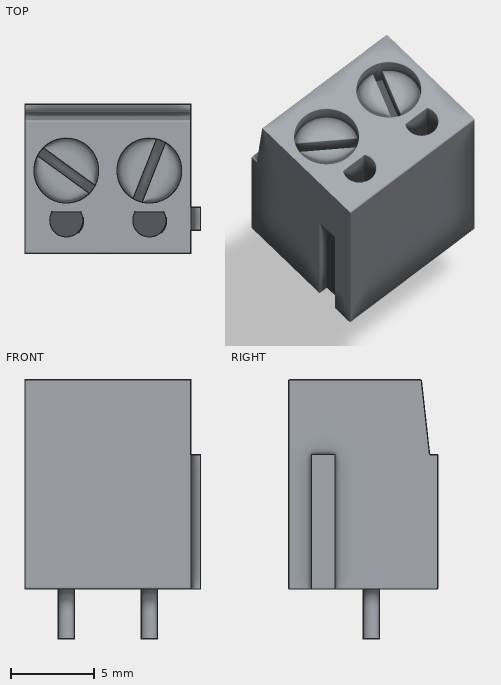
import cadquery as cq
import math

body_width = 10.0
body_depth = 9.0
body_height = 12.6

edge_break = 0.1
ledge_break = 0.05
rim_break = 0.05

ledge_height = 8.1
ledge_depth = 0.5
slope_top_setback = 1.0

pole_count = 2
pole_pitch = body_width / pole_count
screw_y = 4.99

well_diameter = 3.9
well_depth = 1.0
slot_width = 0.6
slot_depth = 1.0
slot_angles = (-36, 68.5)

wire_diameter = 2.0
wire_y = 2.0
wire_flat_offset = 0.5
wire_depth = 3.0

pin_diameter = 1.0
pin_length = 3.0

key_y = 1.39
key_width = 1.4
rib_projection = 0.6
groove_depth = rib_projection

pick_margin = 0.08


def slab_at(height):
    """Selector for everything centred close to the given height."""
    return cq.selectors.BoxSelector(
        (0, -pick_margin, height - pick_margin),
        (body_width, body_depth + pick_margin, height + pick_margin),
    )


def make_housing():
    """Side profile in YZ, extruded along X, with its long edges filleted."""
    profile = [
        (0, 0),
        (body_depth, 0),
        (body_depth, ledge_height),
        (body_depth - ledge_depth, ledge_height),
        (body_depth - slope_top_setback, body_height),
        (0, body_height),
    ]
    housing = cq.Workplane("YZ").polyline(profile).close().extrude(body_width)
    housing = housing.edges("|X").edges(slab_at(ledge_height)).fillet(ledge_break)
    return (
        housing.faces("<Y").edges("|X")
        .add(housing.faces(">Z").edges("|X and >Y"))
        .add(housing.faces("<Z").edges("|X and >Y"))
        .fillet(edge_break)
    )


def make_key(x_start, length):
    """Upright bar of the interlock, as tall as the rear ledge."""
    bar = cq.Workplane("XY").box(length, key_width, ledge_height, centered=False)
    return bar.translate((x_start, key_y, 0))


def make_wire_entry(x):
    """Cutter for one D-shaped wire entry."""
    radius = wire_diameter / 2
    half_flat = math.sqrt(radius**2 - wire_flat_offset**2)
    return (
        cq.Workplane("XY", origin=(x, wire_y, body_height))
        .moveTo(-half_flat, wire_flat_offset)
        .threePointArc((0, -radius), (half_flat, wire_flat_offset))
        .close()
        .extrude(-wire_depth)
    )


def make_screw_well(x, slot_angle):
    """Cutter for one screw well and the driver slot in the screw head at its floor."""
    top = cq.Workplane("XY", origin=(x, screw_y, body_height))
    well = top.circle(well_diameter / 2).extrude(-well_depth)
    head = top.workplane(offset=-well_depth).circle(well_diameter / 2).extrude(-slot_depth)
    slot_length = 2 * well_diameter
    slot = (
        top.workplane(offset=-well_depth)
        .transformed(rotate=(0, 0, slot_angle))
        .rect(slot_length, slot_width)
        .extrude(-slot_depth)
    )
    return well.union(head.intersect(slot))


def break_opening_edges(body):
    """Soften the rims of the wells and wire entries and the edges of the driver slots."""
    for inner_wire in body.faces(">Z").val().innerWires():
        body = body.newObject(inner_wire.Edges()).fillet(rim_break)
    slot_edges = body.edges("%LINE").edges(slab_at(body_height - well_depth))
    return slot_edges.fillet(rim_break)


def make_pin(x):
    """Round solder pin hanging below the housing."""
    return cq.Workplane("XY", origin=(x, screw_y, 0)).circle(pin_diameter / 2).extrude(-pin_length)


result = make_housing()
result = result.union(make_key(body_width, rib_projection))
result = result.cut(make_key(0, groove_depth))

pole_centres = [(pole + 0.5) * pole_pitch for pole in range(pole_count)]

for pole_x, slot_angle in zip(pole_centres, slot_angles):
    result = result.cut(make_screw_well(pole_x, slot_angle))
    result = result.cut(make_wire_entry(pole_x))

result = break_opening_edges(result)

for pole_x in pole_centres:
    result = result.union(make_pin(pole_x))